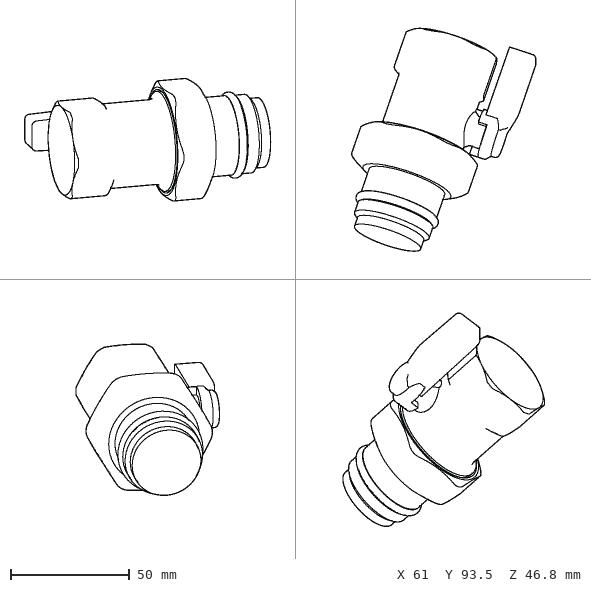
import cadquery as cq
import math

OVERALL_LENGTH = 93.5
CHAMFER_SLOPE = math.tan(math.radians(30))
OVERLAP = 0.9
EDGE_MARGIN = 0.1

PIPE_RADIUS = 16.8
SPIGOT_RADIUS = 16.6
GROOVE_RADIUS = 16.1
NOSE_RADIUS = 14.8
NOSE_END_Y = 87.6
NOSE_START_Y = 83.6
SPIGOT_CHAMFER_Y = 82.0
SPIGOT_START_Y = 77.2
ORING_Y = 75.0
ORING_SECTION_RADIUS = 1.8
ORING_OUTER_RADIUS = 18.2

NUT_ACROSS_FLATS = 46.8
NUT_CORNER_RADIUS = 6.5
NUT_TOP_Y = 62.1
NUT_BOTTOM_Y = 44.2
NUT_TOP_FACE_RADIUS = 19.5
NUT_BOTTOM_FACE_RADIUS = 22.9
NUT_EDGE_FILLET = 1.3
NUT_BORE_CHAMFER = 0.75

BARREL_RADIUS = 18.0
FLANGE_RADIUS = 21.1
FLANGE_EDGE_Y = 43.8
BARREL_TOP_Y = 41.7
BARREL_FILLET = 1.9

INLET_ACROSS_FLATS = 38.0
INLET_CORNER_RADIUS = 20.95
INLET_TOP_Y = 18.7
INLET_CORNER_FILLET = 0.75
INLET_SHOULDER_FILLET = 0.9
INLET_NECK_FILLET = 1.2
INLET_FLAT_X = -19.1

STEM_Y = 32.3
STEM_RADIUS = 6.45
BOSS_RADIUS = 7.9
BOSS_NECK_X = -19.8
BOSS_BASE_X = -18.0
BOSS_FILLET = 0.75
CAP_FACE_X = -33.0
CAP_RADIUS = 7.95
CAP_FILLET = 1.7
HUB_RADIUS = 10.0
HUB_CONE_START_X = -29.9
HUB_CONE_END_X = -28.0
HUB_END_X = -24.8
HUB_FILLET = 0.75
STOP_END_X = -20.95
STOP_OFFSET = 2.1
LUG_ROOT_X = -16.8
LUG_FACE_Y = 23.2
LUG_FILLET = 1.1

LEVER_TIP_Y = NOSE_END_Y - OVERALL_LENGTH
LEVER_OUTER_X = -35.0
LEVER_INNER_X = -22.8
LEVER_BEND_START_Y = 16.7
LEVER_BEND_LENGTH = 4.9
LEVER_SLOPE_ANGLE = math.radians(13.5)
LEVER_TIP_HALF_WIDTH = 6.5
LEVER_ROOT_HALF_WIDTH = 7.8
LEVER_ROOT_Y = STEM_Y - STOP_OFFSET
LEVER_FILLET = 2.1


def turned(points):
    """Solid of revolution about Y from (radius, y) points, closed along the axis."""
    start_y, end_y = points[0][1], points[-1][1]
    outline = [(0, start_y), *points, (0, end_y)]
    return cq.Workplane("XY").polyline(outline).close().revolve(360, (0, 0), (0, 1))


def turned_about_stem(points):
    """Solid of revolution about the stem axis from (x, radius) points."""
    start_x, end_x = points[0][0], points[-1][0]
    outline = [(start_x, 0), *points, (end_x, 0)]
    profile = cq.Workplane("XY", origin=(0, STEM_Y, 0)).polyline(outline).close()
    return profile.revolve(360, (0, 0), (1, 0))


def hexagon(across_flats, start_y, end_y):
    """Hexagonal prism along Y with two corners on the X axis."""
    corner_diameter = across_flats / math.cos(math.radians(30))
    plane = cq.Workplane("XZ", origin=(0, end_y, 0))
    return plane.polygon(6, corner_diameter).extrude(end_y - start_y)


def edges_between(start_y, end_y):
    """Selector of the edges whose centres lie between two planes across the valve axis."""
    reach = NUT_ACROSS_FLATS
    return cq.selectors.BoxSelector((-reach, start_y, -reach), (reach, end_y, reach))


def make_spigot():
    body = turned([
        (PIPE_RADIUS, NUT_TOP_Y - OVERLAP),
        (PIPE_RADIUS, ORING_Y - ORING_SECTION_RADIUS),
        (GROOVE_RADIUS, ORING_Y - ORING_SECTION_RADIUS),
        (GROOVE_RADIUS, SPIGOT_START_Y),
        (SPIGOT_RADIUS, SPIGOT_START_Y),
        (SPIGOT_RADIUS, SPIGOT_CHAMFER_Y),
        (NOSE_RADIUS, NOSE_START_Y),
        (NOSE_RADIUS, NOSE_END_Y),
    ])
    ring_center_radius = ORING_OUTER_RADIUS - ORING_SECTION_RADIUS
    section = cq.Workplane("XY").center(ring_center_radius, ORING_Y).circle(ORING_SECTION_RADIUS)
    oring = section.revolve(360, (-ring_center_radius, 0), (-ring_center_radius, 1))
    return body.union(oring)


def make_nut():
    reach = NUT_ACROSS_FLATS
    nut = hexagon(NUT_ACROSS_FLATS, NUT_BOTTOM_Y, NUT_TOP_Y).edges("|Y").fillet(NUT_CORNER_RADIUS)
    top_chamfer = turned([
        (reach, NUT_BOTTOM_Y),
        (reach, NUT_TOP_Y - (reach - NUT_TOP_FACE_RADIUS) * CHAMFER_SLOPE),
        (NUT_TOP_FACE_RADIUS, NUT_TOP_Y),
    ])
    nut = nut.intersect(top_chamfer)
    middle_y = (NUT_BOTTOM_Y + NUT_TOP_Y) / 2
    shoulder = edges_between(middle_y + OVERLAP, NUT_TOP_Y - EDGE_MARGIN)
    nut = nut.edges(shoulder).edges("not %LINE").fillet(NUT_EDGE_FILLET)
    bottom_chamfer = turned([
        (NUT_BOTTOM_FACE_RADIUS, NUT_BOTTOM_Y),
        (reach, NUT_BOTTOM_Y + (reach - NUT_BOTTOM_FACE_RADIUS) * CHAMFER_SLOPE),
        (reach, NUT_TOP_Y),
    ])
    nut = nut.intersect(bottom_chamfer)
    bore_chamfer = turned([
        (FLANGE_RADIUS + NUT_BORE_CHAMFER, NUT_BOTTOM_Y),
        (FLANGE_RADIUS, NUT_BOTTOM_Y + NUT_BORE_CHAMFER),
    ])
    return nut.cut(bore_chamfer)


def make_barrel():
    barrel = turned([
        (BARREL_RADIUS, INLET_TOP_Y - OVERLAP),
        (BARREL_RADIUS, BARREL_TOP_Y),
        (FLANGE_RADIUS, FLANGE_EDGE_Y),
        (FLANGE_RADIUS, NUT_BOTTOM_Y + NUT_BORE_CHAMFER + OVERLAP),
    ])
    waist = cq.selectors.NearestToPointSelector((BARREL_RADIUS, BARREL_TOP_Y, 0))
    return barrel.edges("%CIRCLE").edges(waist).fillet(BARREL_FILLET)


def make_inlet():
    stock = turned([
        (INLET_ACROSS_FLATS / 2, 0),
        (INLET_CORNER_RADIUS, (INLET_CORNER_RADIUS - INLET_ACROSS_FLATS / 2) * CHAMFER_SLOPE),
        (INLET_CORNER_RADIUS, INLET_TOP_Y - (INLET_CORNER_RADIUS - BARREL_RADIUS) * CHAMFER_SLOPE),
        (BARREL_RADIUS, INLET_TOP_Y),
    ])
    inlet = hexagon(INLET_ACROSS_FLATS, 0, INLET_TOP_Y).intersect(stock)
    inlet = inlet.edges("|Y").fillet(INLET_CORNER_FILLET)
    shoulder = edges_between(INLET_TOP_Y / 2 + OVERLAP, INLET_TOP_Y - EDGE_MARGIN)
    return inlet.edges(shoulder).edges("not %LINE").fillet(INLET_SHOULDER_FILLET)


def make_stem():
    stem = turned_about_stem([
        (HUB_END_X, STEM_RADIUS),
        (BOSS_NECK_X, STEM_RADIUS),
        (BOSS_BASE_X, BOSS_RADIUS),
        (0, BOSS_RADIUS),
    ])
    neck = cq.selectors.NearestToPointSelector((BOSS_NECK_X, STEM_Y, 0))
    base = cq.selectors.NearestToPointSelector((BOSS_BASE_X, STEM_Y, 0))
    rims = stem.edges("%CIRCLE").edges(neck).add(stem.edges("%CIRCLE").edges(base))
    return rims.fillet(BOSS_FILLET)


def make_hub():
    hub = turned_about_stem([
        (CAP_FACE_X, CAP_RADIUS),
        (HUB_CONE_START_X, CAP_RADIUS),
        (HUB_CONE_END_X, HUB_RADIUS),
        (HUB_END_X, HUB_RADIUS),
    ])
    hub = hub.faces("<X").edges().fillet(CAP_FILLET)
    cone_rim = cq.selectors.NearestToPointSelector((HUB_CONE_END_X, STEM_Y, 0))
    hub = hub.edges("%CIRCLE").edges(cone_rim).fillet(HUB_FILLET)
    ring = turned_about_stem([(HUB_END_X, HUB_RADIUS), (STOP_END_X, HUB_RADIUS)])
    for side in (1, -1):
        corner = cq.Workplane("YZ", origin=(HUB_END_X, STEM_Y - side * STOP_OFFSET, side * STOP_OFFSET))
        quadrant = corner.rect(-side * 2 * HUB_RADIUS, side * 2 * HUB_RADIUS, centered=False)
        hub = hub.union(ring.intersect(quadrant.extrude(STOP_END_X - HUB_END_X)))
    return hub


def make_stop_lug():
    """Rounded rib between the two stop tabs, standing on the barrel."""
    lug = cq.Workplane("XY").box(
        LUG_ROOT_X - HUB_END_X, STEM_Y - LUG_FACE_Y, 2 * STOP_OFFSET, centered=(False, False, True)
    )
    lug = lug.edges("|X and <Y").fillet(LUG_FILLET)
    return lug.translate((HUB_END_X, LUG_FACE_Y, 0))


def make_lever():
    bend_end_x = LEVER_OUTER_X + LEVER_BEND_LENGTH * math.tan(LEVER_SLOPE_ANGLE / 2)
    bend_end_y = LEVER_BEND_START_Y + LEVER_BEND_LENGTH
    root_x = bend_end_x + (LEVER_ROOT_Y - bend_end_y) * math.tan(LEVER_SLOPE_ANGLE)
    side = (
        cq.Workplane("XY")
        .moveTo(LEVER_INNER_X, LEVER_TIP_Y)
        .lineTo(LEVER_OUTER_X, LEVER_TIP_Y)
        .lineTo(LEVER_OUTER_X, LEVER_BEND_START_Y)
        .tangentArcPoint((bend_end_x, bend_end_y), relative=False)
        .lineTo(root_x, LEVER_ROOT_Y)
        .lineTo(LEVER_INNER_X, LEVER_ROOT_Y)
        .close()
        .extrude(LEVER_ROOT_HALF_WIDTH, both=True)
    )
    taper = (
        cq.Workplane("YZ", origin=(LEVER_OUTER_X, 0, 0))
        .polyline([
            (LEVER_TIP_Y, -LEVER_TIP_HALF_WIDTH),
            (LEVER_ROOT_Y, -LEVER_ROOT_HALF_WIDTH),
            (LEVER_ROOT_Y, LEVER_ROOT_HALF_WIDTH),
            (LEVER_TIP_Y, LEVER_TIP_HALF_WIDTH),
        ])
        .close()
        .extrude(LEVER_INNER_X - LEVER_OUTER_X)
    )
    lever = side.intersect(taper)
    tip_corner = lever.faces("<Y").edges("<X")
    return lever.edges("not(|Z or >X or >Y)").add(tip_corner).fillet(LEVER_FILLET)


def make_body():
    body = make_inlet().union(make_barrel())
    neck = edges_between(INLET_TOP_Y - EDGE_MARGIN, INLET_TOP_Y + EDGE_MARGIN)
    body = body.edges(neck).fillet(INLET_NECK_FILLET)
    corner_depth = INLET_CORNER_RADIUS + INLET_FLAT_X
    clearance = cq.Workplane("XY").box(
        corner_depth, INLET_TOP_Y, 2 * INLET_CORNER_RADIUS, centered=(False, False, True)
    )
    return body.cut(clearance.translate((-INLET_CORNER_RADIUS, 0, 0)))


result = make_spigot()
for piece in (make_nut(), make_body(), make_stem(), make_hub(), make_stop_lug(), make_lever()):
    result = result.union(piece)